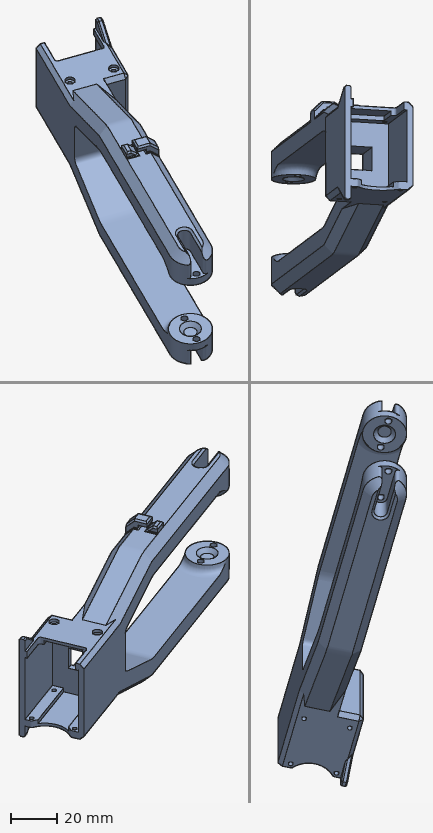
import cadquery as cq
import math

total_length = 164.76
total_depth = 30.73

housing_length = 32.8
housing_half_height = 19.5
housing_chamfer = 2.0
root_end = 44.8
cavity_half_height = 16.0
cavity_length = 29.7
front_wall = 2.7
back_wall = 2.73
cavity_back_y = total_depth - back_wall
window_height = 10.4
window_y_min = 10.0
window_y_max = 20.5

mouth_depth = 12.9
mouth_y_min = 4.0
mouth_y_max = 27.0
mouth_corner_radius = 1.2
mouth_mid_y = (mouth_y_min + mouth_y_max) / 2
recess_depth = 2.0
floor_recess_width = 14.4
roof_recess_width = 18.4
roof_recess_end_x = 24.0
scoop_radius = 11.6
scoop_depth = 4.6
scoop_lip_radius = 1.5

housing_hole_diameter = 2.0
head_diameter = 4.4
head_depth = 1.5
mouth_hole_x = 2.1
rear_hole_x = 26.4
housing_hole_spacing = 20.5
housing_hole_ys = [mouth_mid_y - housing_hole_spacing / 2, mouth_mid_y + housing_hole_spacing / 2]

wing_half_height = 25.3
wing_tip_length = 2.2
wing_root_length = 10.3
wing_chamfer = 0.65

arm_width = 19.2
arm_half_width = arm_width / 2
arm_outer_z = 33.5
arm_inner_z = 21.5
arm_chamfer = 4.0
outer_bend_x = 72.8
inner_bend_x = 74.3
crotch_half_height = 10.8
crotch_fillet = 3.0
bend_radius = 12.0

boss_x = total_length - arm_half_width
boss_face_z = 17.5
boss_fillet = arm_inner_z - boss_face_z
mount_hole_diameter = 3.0
mount_hole_offset = 7.0
countersink_diameter = 9.5
countersink_floor_diameter = 5.8
countersink_depth = 2.0
slot_width = 5.8
slot_depth = arm_outer_z - arm_inner_z
slot_chamfer = 1.0
slot_mouth_radius = 1.2

clip_x = 91.9
clip_width = 6.0
clip_top_z = 38.0
clip_gap_z = 35.5
clip_crown_y = 15.4
clip_tip_y = 9.1
clip_throat_y = 13.4
clip_edge_chamfer = 0.8
foot_width = 7.4
clip_foot_height = 0.5
stub_top_z = 36.6
stub_top_y = 6.5
stub_foot_y = 10.0


def box(x_range, y_range, z_range):
    """Axis-aligned block between the given limits."""
    size = [high - low for low, high in (x_range, y_range, z_range)]
    corner = (x_range[0], y_range[0], z_range[0])
    return cq.Workplane("XY").box(*size, centered=False).translate(corner)


def along_y(points, y_min, y_max):
    """Extrude an X-Z outline between two Y positions."""
    outline = cq.Workplane("XZ", origin=(0, y_max, 0)).polyline(points).close()
    return outline.extrude(y_max - y_min)


def along_x(points, x_min, x_max):
    """Extrude a Y-Z outline between two X positions."""
    outline = cq.Workplane("YZ", origin=(x_min, 0, 0)).polyline(points).close()
    return outline.extrude(x_max - x_min)


def both_arms(solid):
    """Combine a solid with its mirror image in the mid plane."""
    return solid.union(solid.mirror("XY"))


def make_housing():
    h = housing_half_height
    body = box((0, housing_length), (0, total_depth), (-h, h))
    corner_edge = body.edges(">X and >Y").vals()
    rim_edges = body.faces(">Z or <Z").edges("not <X").vals()
    return body.newObject(corner_edge + rim_edges).chamfer(housing_chamfer)


def make_root():
    """Solid block that joins the housing to both arms."""
    h = housing_half_height
    root = box((cavity_length, root_end), (0, arm_width), (-h, h))
    return root.edges("|X and <Y").chamfer(housing_chamfer)


def make_wing():
    """Triangular plate that extends the back wall above the housing."""
    slope = (wing_half_height - housing_half_height) / (wing_root_length - wing_tip_length)
    base_x = wing_tip_length + (wing_half_height - cavity_half_height) / slope
    outline = [
        (0, cavity_half_height),
        (base_x, cavity_half_height),
        (wing_tip_length, wing_half_height),
        (0, wing_half_height),
    ]
    wing = along_y(outline, cavity_back_y, total_depth)
    return wing.edges("not (|Y or <X or <Z)").chamfer(wing_chamfer)


def end_disc(bottom_z):
    """Round end of the upper arm, from the given height up to the outer face."""
    base = cq.Workplane("XY", origin=(boss_x, arm_half_width, bottom_z))
    return base.circle(arm_half_width).extrude(arm_outer_z - bottom_z)


def make_arm():
    """Upper arm, from the housing to the rounded end."""
    outline = [
        (housing_length, 0),
        (housing_length, housing_half_height),
        (outer_bend_x, arm_outer_z),
        (boss_x, arm_outer_z),
        (boss_x, arm_inner_z),
        (inner_bend_x, arm_inner_z),
        (root_end, crotch_half_height),
        (root_end, 0),
    ]
    arm = along_y(outline, 0, arm_width)
    arm = arm.union(end_disc(boss_face_z)).clean()

    rise = arm_outer_z - housing_half_height
    run = outer_bend_x - housing_length
    slope_normal = cq.Vector(-rise, 0, run)
    sloped_edges = arm.faces(cq.selectors.DirectionNthSelector(slope_normal, -1)).edges("not |Y")
    flat_edges = arm.faces(">Z").edges("not |Y")
    arm = arm.newObject(flat_edges.vals() + sloped_edges.vals()).chamfer(arm_chamfer)

    bend_top = cq.selectors.NearestToPointSelector((outer_bend_x, arm_half_width, arm_outer_z))
    bend_inside = cq.selectors.NearestToPointSelector((inner_bend_x, arm_half_width, arm_inner_z))
    crotch = cq.selectors.NearestToPointSelector((root_end, arm_half_width, crotch_half_height))
    for bend, radius in ((bend_top, bend_radius), (bend_inside, bend_radius), (crotch, crotch_fillet)):
        arm = arm.edges("|Y").edges(bend).fillet(radius)
    return arm


def make_boss_fillet():
    """Concave blend between the round end and the inner face of the upper arm."""
    skirt_radius = arm_half_width + boss_fillet
    sag = boss_fillet * math.sqrt(0.5)
    skirt = (
        cq.Workplane("XZ")
        .moveTo(0, boss_face_z)
        .lineTo(arm_half_width, boss_face_z)
        .threePointArc((skirt_radius - sag, boss_face_z + sag), (skirt_radius, arm_inner_z))
        .lineTo(0, arm_inner_z)
        .close()
        .revolve(360, (0, 0), (0, 1))
        .translate((boss_x, arm_half_width, 0))
    )
    return skirt.intersect(box((root_end, boss_x), (0, arm_width), (boss_face_z, arm_inner_z)))


def make_mount_cuts():
    """Screw holes and blind countersink at the end of the upper arm."""
    face = cq.Workplane("XY", origin=(boss_x, arm_half_width, boss_face_z))
    hole_points = [(-mount_hole_offset, 0), (mount_hole_offset, 0)]
    cuts = face.pushPoints(hole_points).circle(mount_hole_diameter / 2).extrude(arm_outer_z - boss_face_z)
    countersink = (
        face.circle(countersink_diameter / 2)
        .workplane(offset=countersink_depth)
        .circle(countersink_floor_diameter / 2)
        .loft()
    )
    return cuts.union(countersink)


def make_slot():
    """Slot in the outer face that opens through the arm end, with a bevelled rim and rounded mouth."""
    reach = 2 * (arm_half_width + mount_hole_offset)
    center_x = boss_x - mount_hole_offset + reach / 2
    floor = cq.Workplane("XY", origin=(center_x, arm_half_width, arm_outer_z - slot_depth))
    slot = floor.slot2D(reach + slot_width, slot_width).extrude(slot_depth)
    rim = (
        floor.workplane(offset=slot_depth)
        .slot2D(reach + slot_width + 2 * slot_chamfer, slot_width + 2 * slot_chamfer)
        .extrude(-slot_chamfer, taper=45)
    )
    disc = end_disc(arm_outer_z - slot_depth)
    rounded = disc.cut(slot).edges("|Z")
    mouth_x = boss_x + arm_half_width / 2
    mouth_zone = cq.selectors.BoxSelector((mouth_x, 0, 0), (total_length, arm_width, arm_outer_z))
    rounded = rounded.edges(mouth_zone).fillet(slot_mouth_radius)
    mouth = disc.cut(rounded).intersect(box((mouth_x, total_length), (0, arm_width), (0, arm_outer_z)))
    return slot.union(rim).union(mouth)


def clip_part(outline, outer_points):
    """Extrude a clip outline across the arm and bevel the sides and the far end of its outer stretch."""
    x_min = clip_x - clip_width / 2
    x_max = clip_x + clip_width / 2
    part = along_x(outline, x_min, x_max)
    end_y, end_z = outer_points[-1]
    bevelled = part.edges(cq.selectors.NearestToPointSelector((clip_x, end_y, end_z))).vals()
    for start, end in zip(outer_points, outer_points[1:]):
        mid_y = (start[0] + end[0]) / 2
        mid_z = (start[1] + end[1]) / 2
        for x in (x_min, x_max):
            bevelled += part.edges(cq.selectors.NearestToPointSelector((x, mid_y, mid_z))).vals()
    return part.newObject(bevelled).chamfer(clip_edge_chamfer)


def clip_foot(outline):
    """Plinth that is slightly wider than the clip part standing on it."""
    return along_x(outline, clip_x - foot_width / 2, clip_x + foot_width / 2)


def make_clip():
    """Open cable clip on the upper arm: a hook and a facing stub, each on a wider foot."""
    corner_y = arm_width - arm_chamfer
    corner_z = arm_outer_z - arm_chamfer
    shoulder = (arm_width, clip_top_z - (arm_width - clip_crown_y))
    crown = (clip_crown_y, clip_top_z)
    tip = (clip_tip_y, clip_top_z)
    tip_under = (clip_tip_y, clip_gap_z)
    throat = [(clip_throat_y, clip_gap_z), (clip_throat_y, arm_outer_z)]
    arm_side = [(corner_y, arm_outer_z), (arm_width, corner_z)]
    hook = clip_part([shoulder, crown, tip, tip_under] + throat + arm_side, [shoulder, crown, tip])

    stub_foot = (stub_foot_y, arm_outer_z)
    stub_crest = (stub_top_y, stub_top_z)
    stub_back = (arm_chamfer, stub_top_z)
    stub_base = (arm_chamfer, arm_outer_z)
    stub = clip_part([stub_foot, stub_crest, stub_back, stub_base], [stub_foot, stub_crest, stub_back])

    foot_z = arm_outer_z + clip_foot_height
    hook_foot = clip_foot([
        (arm_width, corner_z),
        (arm_width, corner_z + clip_foot_height),
        (corner_y, foot_z),
        (clip_throat_y, foot_z),
        (clip_throat_y - clip_foot_height, arm_outer_z),
        (corner_y, arm_outer_z),
    ])
    stub_foot_plate = clip_foot([
        stub_base,
        (arm_chamfer, foot_z),
        (stub_foot_y - clip_foot_height, foot_z),
        stub_foot,
    ])
    return hook.union(stub).union(hook_foot).union(stub_foot_plate)


def make_cavity():
    """Interior of the housing with the window between the arms and the open mouth."""
    h = cavity_half_height
    cavity = box((0, cavity_length), (front_wall, cavity_back_y), (-h, h))
    window_z = (-window_height / 2, window_height / 2)
    window = box((cavity_length, root_end), (window_y_min, window_y_max), window_z)
    mouth = box((-mouth_depth, mouth_depth), (mouth_y_min, mouth_y_max), (0, housing_half_height))
    mouth = mouth.edges("|Z").fillet(mouth_corner_radius)
    floor_y = (mouth_mid_y - floor_recess_width / 2, mouth_mid_y + floor_recess_width / 2)
    floor_recess = box((0, cavity_length), floor_y, (-h - recess_depth, 0))
    roof_y = (mouth_mid_y - roof_recess_width / 2, mouth_mid_y + roof_recess_width / 2)
    roof_recess = box((0, roof_recess_end_x), roof_y, (0, h + recess_depth))
    return cavity.union(window).union(mouth).union(floor_recess).union(roof_recess)


def cut_scoop(body):
    """Round bite out of the front edge of the housing floor, with rounded corners at its ends."""
    floor_height = housing_half_height - cavity_half_height
    center = (scoop_depth - scoop_radius, mouth_mid_y, -housing_half_height)
    body = body.cut(cq.Workplane("XY", origin=center).circle(scoop_radius).extrude(floor_height))
    corner_zone = cq.selectors.BoxSelector(
        (-scoop_lip_radius, mouth_y_min, -housing_half_height),
        (scoop_lip_radius, mouth_y_max, -cavity_half_height),
    )
    return body.edges("|Z").edges(corner_zone).fillet(scoop_lip_radius)


def make_housing_holes():
    """Screw holes through the housing roof and floor, counterbored at the rear of the roof."""
    h = housing_half_height
    points = [(x, y) for x in (mouth_hole_x, rear_hole_x) for y in housing_hole_ys]
    shafts = cq.Workplane("XY", origin=(0, 0, -h)).pushPoints(points).circle(housing_hole_diameter / 2)
    rear_points = [(rear_hole_x, y) for y in housing_hole_ys]
    head_plane = cq.Workplane("XY", origin=(0, 0, h - head_depth))
    heads = head_plane.pushPoints(rear_points).circle(head_diameter / 2)
    return shafts.extrude(2 * h).union(heads.extrude(head_depth))


upper_arm = make_arm().union(make_boss_fillet()).cut(make_mount_cuts()).cut(make_slot())
fork = make_housing().union(make_root()).union(both_arms(make_wing())).union(both_arms(upper_arm))
fork = fork.union(make_clip())
result = cut_scoop(fork.cut(make_cavity())).cut(make_housing_holes())